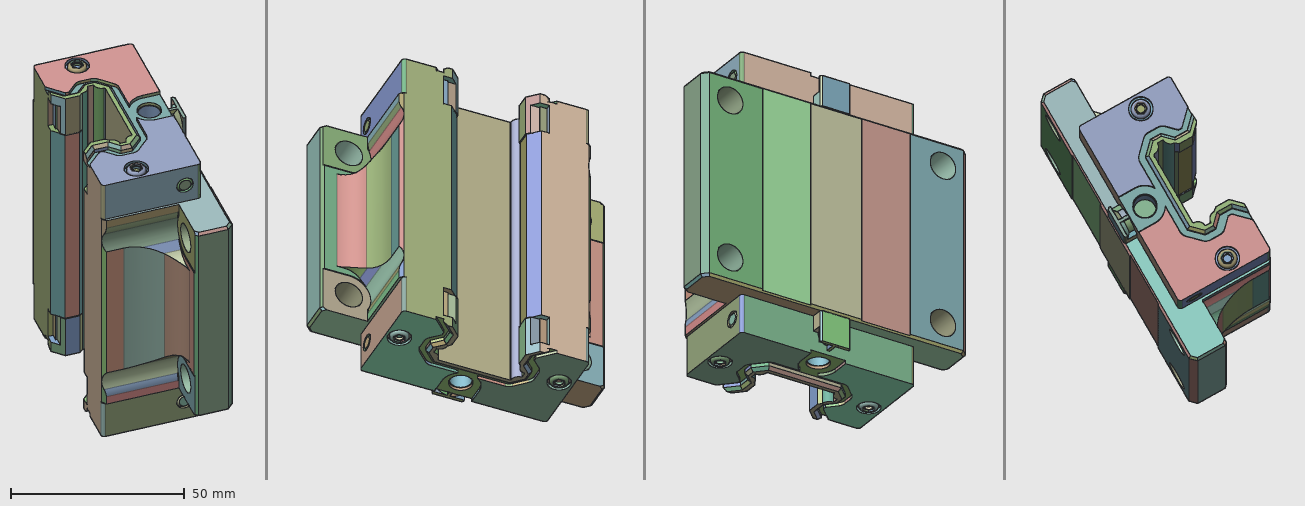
import cadquery as cq
import math


flange_width = 90.0
carriage_height = 35.0
body_length = 67.7
body_width = 60.5
bottom_chamfer = 1.0
flange_bottom = 22.9
flange_side_chamfer = 1.9
flange_end_chamfer = 0.8
flange_lower_chamfer = 1.0
relief_inner_x = 8.6
relief_outer_x = 25.0
relief_depth = 0.3

hole_x = 36.1
hole_z = 26.0
hole_diameter = 8.6
clearance_radius = 6.9
clearance_blend = 6.2
clearance_taper = math.radians(40)
clearance_inner_z = 17.0
spotface_depth = 0.3

buttress_foot_y = 6.4
buttress_bend = (32.9, 17.9)
buttress_tip_x = 40.0

body_lip_x = 11.0
cap_lip_x = 10.6
lip_lead_in = 3.2
lip_shoulder_y = 7.6
track_edge_x = 11.6
track_x = 13.9
track_low_y = 11.1
track_high_y = 13.0
track_rise = 2.4
channel_top = 15.6

total_length = 94.8
cap_width = 59.0
cap_height = 30.4
cap_corner_radius = 1.0
plate_top = 46.4
plate_bottom = 44.0
recess_depth = 1.0
recess_blend = 2.8
seal_chamfer = 0.95

notch_outer_x = 16.7
notch_step_x = 14.5
notch_inner_x = 11.5
notch_outer_depth = 1.6
notch_inner_depth = 2.1

screw_x = 25.2
screw_y = 12.0
screw_recess_diameter = 7.0
screw_recess_depth = 1.1
screw_head_diameter = 5.7
screw_head_top = 46.7
screw_dome = 0.95
socket_diameter = 3.6
socket_depth = 0.6
socket_bore_diameter = 2.5
socket_bore_depth = 1.4

port_y = 25.0
port_tab_radius = 5.9
port_mouth_diameter = 7.0
port_mouth_depth = 0.95
port_bore_diameter = 6.5
port_bore_depth = 7.6
plug_y = 25.4
plug_z = 39.8
plug_diameter = 5.0
plug_top_diameter = 3.5
plug_depth = 0.8

adapter_z = 38.9
adapter_radius = 5.0
adapter_post_radius = 3.5
adapter_flare_bottom = 32.2
adapter_rim_bottom = 33.6
adapter_top = 34.6
adapter_chamfer = 0.5
adapter_web_width = 0.95

body_end = body_length / 2
recess_floor = plate_top - recess_depth
seal_top = total_length / 2
wall_x = body_width / 2


def both_sides(shape):
    return shape.union(shape.mirror("YZ"))


def both_ends(shape):
    return shape.union(shape.mirror("XY"))


def box(x_range, y_range, z_range):
    size = [high - low for low, high in (x_range, y_range, z_range)]
    corner = (x_range[0], y_range[0], z_range[0])
    return cq.Workplane("XY").box(*size, centered=False).translate(corner)


def symmetric_profile(right_half, bottom, height):
    """Extrude a closed outline given by its right half, from its lowest to its highest point."""
    left_half = [(-x, y) for x, y in reversed(right_half)]
    outline = cq.Workplane("XY").workplane(offset=bottom).polyline(right_half + left_half).close()
    return outline.extrude(height)


def y_cylinder(radius, x, z, bottom, top):
    return cq.Workplane("XZ", origin=(x, bottom, z)).circle(radius).extrude(bottom - top)


def arc_middle(center, start, end):
    """Point halfway along the short arc from start to end."""
    radius = math.dist(center, start)
    dx = (start[0] + end[0]) / 2 - center[0]
    dy = (start[1] + end[1]) / 2 - center[1]
    scale = radius / math.hypot(dx, dy)
    return (center[0] + dx * scale, center[1] + dy * scale)


def rail_channel(lip_x, bottom, top):
    """Rail opening with a rounded ball-track ridge above and below each side groove."""
    ridge = track_x - track_edge_x
    bulge = math.sqrt(0.5)
    low_start = track_low_y - track_rise
    high_end = track_high_y + track_rise
    low_middle = (track_x - ridge * bulge, low_start + track_rise * bulge)
    high_middle = (track_x - ridge * bulge, high_end - track_rise * bulge)

    half = (
        cq.Workplane("XY").workplane(offset=bottom)
        .moveTo(0, 0)
        .lineTo(lip_x + lip_lead_in, 0)
        .lineTo(lip_x, lip_lead_in)
        .lineTo(lip_x, lip_shoulder_y)
        .lineTo(track_edge_x, low_start)
        .threePointArc(low_middle, (track_x, track_low_y))
        .lineTo(track_x, track_high_y)
        .threePointArc(high_middle, (track_edge_x, high_end))
        .lineTo(track_edge_x - (channel_top - high_end), channel_top)
        .lineTo(0, channel_top)
        .close()
        .extrude(top - bottom)
    )
    return both_sides(half)


def flange():
    half_width = flange_width / 2
    profile = [
        (half_width - flange_lower_chamfer, flange_bottom),
        (half_width, flange_bottom + flange_lower_chamfer),
        (half_width, carriage_height - flange_side_chamfer),
        (half_width - flange_side_chamfer, carriage_height),
    ]
    plate = symmetric_profile(profile, -body_end, body_length)
    plate = plate.faces("|Z").edges("not <Y").chamfer(flange_end_chamfer)
    relief = box(
        (relief_inner_x, relief_outer_x),
        (carriage_height - relief_depth, carriage_height),
        (-body_end, body_end),
    )
    return plate.cut(both_sides(relief))


def body_block():
    profile = [
        (wall_x - bottom_chamfer, 0),
        (wall_x, bottom_chamfer),
        (wall_x, flange_bottom + flange_lower_chamfer),
    ]
    return symmetric_profile(profile, -body_end, body_length)


def buttress():
    bend_x, bend_y = buttress_bend
    dx = bend_x - wall_x
    dy = bend_y - buttress_foot_y
    lower_center = (wall_x + (dx**2 + dy**2) / (2 * dx), buttress_foot_y)
    lower_middle = arc_middle(lower_center, (wall_x, buttress_foot_y), buttress_bend)
    half = (
        cq.Workplane("XY").workplane(offset=-hole_z)
        .moveTo(wall_x, buttress_foot_y)
        .threePointArc(lower_middle, buttress_bend)
        .tangentArcPoint((buttress_tip_x, flange_bottom), relative=False)
        .lineTo(wall_x, flange_bottom)
        .close()
        .extrude(2 * hole_z)
    )
    return both_sides(half)


def bolt_clearance():
    """Room for one bolt head below the flange, blended into the wall and into the buttress."""
    blend_center_x = wall_x - clearance_blend
    reach = clearance_radius + clearance_blend
    blend_rise = math.sqrt(reach**2 - (hole_x - blend_center_x) ** 2)
    blend_center = (blend_center_x, hole_z + blend_rise)
    blend_start = (wall_x, hole_z + blend_rise)
    share = clearance_radius / reach
    blend_end = (hole_x - (hole_x - blend_center_x) * share, hole_z + blend_rise * share)

    cos_taper = math.cos(clearance_taper)
    sin_taper = math.sin(clearance_taper)
    round_end = (hole_x - clearance_radius * cos_taper, hole_z - clearance_radius * sin_taper)
    blend_drop = clearance_blend * (1 - sin_taper)
    taper_length = (round_end[1] - clearance_inner_z - blend_drop) / cos_taper
    taper_end = (round_end[0] + taper_length * sin_taper, clearance_inner_z + blend_drop)
    inner_x = taper_end[0] + clearance_blend * cos_taper

    inner_end = (inner_x, clearance_inner_z)
    inner_center = (inner_x, clearance_inner_z + clearance_blend)
    outer_x = flange_width / 2
    return (
        cq.Workplane("XZ")
        .moveTo(*blend_start)
        .threePointArc(arc_middle(blend_center, blend_start, blend_end), blend_end)
        .threePointArc((hole_x - clearance_radius, hole_z), round_end)
        .lineTo(*taper_end)
        .threePointArc(arc_middle(inner_center, taper_end, inner_end), inner_end)
        .lineTo(outer_x, clearance_inner_z)
        .lineTo(outer_x, blend_start[1])
        .close()
        .extrude(-flange_bottom)
    )


def spotface():
    """Shallow seat around one hole, open towards the flange side and end."""
    top = flange_bottom + spotface_depth
    outer_x = flange_width / 2
    seat_y = (flange_bottom, top)
    seat = y_cylinder(clearance_radius, hole_x, hole_z, *seat_y)
    seat = seat.union(box((hole_x, outer_x), seat_y, (hole_z - clearance_radius, body_end)))
    return seat.union(box((wall_x, outer_x), seat_y, (hole_z + clearance_radius / 2, body_end)))


def carriage_body():
    mounting_hole = y_cylinder(hole_diameter / 2, hole_x, hole_z, 0, carriage_height)
    bolt_space = bolt_clearance().union(spotface()).union(mounting_hole)
    solid = flange().union(body_block()).union(buttress())
    solid = solid.cut(both_ends(both_sides(bolt_space)))
    return solid.cut(rail_channel(body_lip_x, -body_end, body_end))


def cap_block():
    half_width = cap_width / 2
    block = box((-half_width, half_width), (0, cap_height), (body_end, plate_top))
    return block.edges("|Z").fillet(cap_corner_radius)


def seal_recess():
    """Sunken band around the rail opening, joined to a round-ended tab at the grease port."""
    outline = [(19.1, 0), (14.5, 4.55), (14.5, 5.7), (18.1, 9.3), (18.1, 14.8), (12.9, 20.0)]
    band = symmetric_profile(outline, recess_floor, recess_depth)
    round_corners = cq.selectors.BoxSelector((-19, 8.5, recess_floor - 0.95), (19, 20.9, seal_top))
    band = band.edges("|Z").edges(round_corners).fillet(recess_blend)
    tab = cq.Workplane("XY", origin=(0, port_y, recess_floor)).circle(port_tab_radius).extrude(recess_depth)
    slot = box((-port_tab_radius, port_tab_radius), (port_y, cap_height), (recess_floor, plate_top))
    return band.union(tab).union(slot)


def seal_lip():
    """Raised wiper rim with a bevelled outer edge."""
    outline = [(16.7, 0), (13.1, 3.6), (13.1, 7.7), (16.0, 10.6), (16.0, 14.1), (12.2, 17.9)]
    lip = symmetric_profile(outline, recess_floor, seal_top - recess_floor)
    return lip.faces(">Z").edges("not <Y").chamfer(seal_chamfer)


def leg_notch():
    z_range = (body_end, plate_bottom)
    outer = box((notch_step_x, notch_outer_x), (0, notch_outer_depth), z_range)
    inner = box((notch_inner_x, notch_step_x), (0, notch_inner_depth), z_range)
    return both_sides(outer.union(inner))


def add_cap_screw(cap, x):
    recess_bottom = plate_top - screw_recess_depth
    seat = cq.Workplane("XY", origin=(x, screw_y, recess_bottom))
    top = cq.Workplane("XY", origin=(x, screw_y, screw_head_top))
    head = seat.circle(screw_head_diameter / 2).extrude(screw_head_top - recess_bottom)
    head = head.faces(">Z").edges().fillet(screw_dome)
    head = head.cut(top.polygon(6, socket_diameter).extrude(-socket_depth))
    head = head.cut(top.circle(socket_bore_diameter / 2).extrude(-socket_bore_depth))
    return cap.cut(seat.circle(screw_recess_diameter / 2).extrude(screw_recess_depth)).union(head)


def grease_port():
    start = cq.Workplane("XY", origin=(0, port_y, recess_floor))
    mouth = start.circle(port_mouth_diameter / 2).extrude(-port_mouth_depth)
    return mouth.union(start.circle(port_bore_diameter / 2).extrude(-port_bore_depth))


def side_plug_groove():
    """Ring-shaped recess left around the conical face of a side plug."""
    bottom_x = cap_width / 2 - plug_depth
    seat = cq.Workplane("YZ", origin=(bottom_x, plug_y, plug_z))
    opening = seat.circle(plug_diameter / 2).extrude(plug_depth)
    flank = math.degrees(math.atan2((plug_diameter - plug_top_diameter) / 2, plug_depth))
    plug = seat.circle(plug_diameter / 2).extrude(plug_depth, taper=flank)
    return opening.cut(plug)


def adapter():
    """Grease adapter: flared half-round post, solid base block, thin web and a flat cover plate."""
    x_range = (-adapter_radius, adapter_radius)
    web_x = (-adapter_web_width / 2, adapter_web_width / 2)
    base_z = (body_end, adapter_z)
    post_outline = [
        (0, cap_height),
        (adapter_post_radius, cap_height),
        (adapter_post_radius, adapter_flare_bottom),
        (adapter_radius, adapter_rim_bottom),
        (0, adapter_rim_bottom),
    ]
    post = cq.Workplane("XY").polyline(post_outline).close().revolve(360, (0, 0), (0, 1))
    post = post.translate((0, 0, adapter_z))
    base = box(x_range, (cap_height, adapter_rim_bottom), base_z)
    web = box(web_x, (cap_height, adapter_rim_bottom), (adapter_z, adapter_z + adapter_radius))
    cover_z = (body_end, adapter_z + adapter_radius)
    cover = box(x_range, (adapter_rim_bottom, adapter_top), cover_z)
    cover = cover.faces(">Y").edges("|Z").chamfer(adapter_chamfer)
    return base.union(post).union(web).union(cover)


def end_cap():
    cap = cap_block().cut(seal_recess()).union(seal_lip())
    cap = cap.cut(rail_channel(cap_lip_x, body_end, seal_top))
    cap = cap.cut(leg_notch()).cut(grease_port()).cut(both_sides(side_plug_groove()))
    for x in (-screw_x, screw_x):
        cap = add_cap_screw(cap, x)
    return cap.union(adapter())


result = carriage_body().union(both_ends(end_cap()))